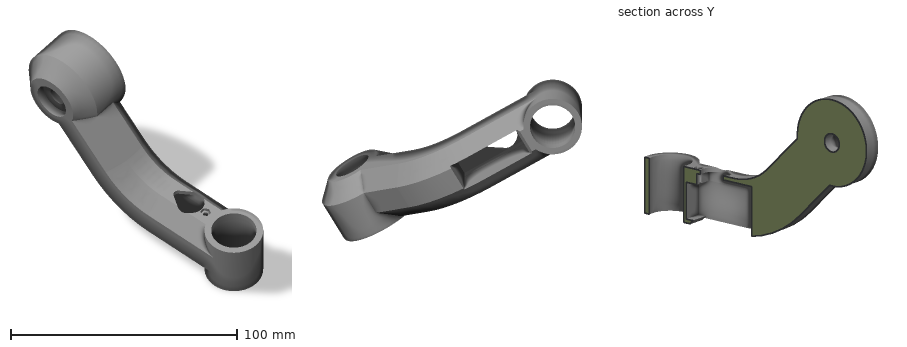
import cadquery as cq
import math

RING_DIAMETER = 26.0
RING_HEIGHT = 26.0
RING_BORE = 20.0

ARM_WIDTH = RING_DIAMETER
ARM_HALF = ARM_WIDTH / 2
OCTAGON_HALF_SIDE = ARM_HALF * math.tan(math.pi / 8)
BEND_ANGLE = math.radians(45.4)
BEND_RADIUS = 40.0

HEAD_X = -95.0
HEAD_Z = 40.0
HEAD_DIAMETER = 40.0
HEAD_FRONT_Y = -ARM_HALF
HEAD_CONE_END_Y = -OCTAGON_HALF_SIDE
HEAD_BACK_Y = 14.0
HEAD_FACE_DIAMETER = 25.0
BACK_STEP_DIAMETER = 39.6
BACK_STEP_HEIGHT = 0.7
HEAD_HOLE = 8.2
HEAD_COUNTERBORE = 16.5
COUNTERBORE_DEPTH = 4.0

KEYHOLE_LARGE_X = -25.2
KEYHOLE_LARGE_RADIUS = 6.2
KEYHOLE_SMALL_X = -32.4
KEYHOLE_SMALL_RADIUS = 2.2

POCKET_START_X = -48.8
MOUTH_END_SLOPE = math.radians(52.0)
MOUTH_END_X = -13.7
MOUTH_DEPTH = 2.0
MOUTH_TOP_Z = MOUTH_DEPTH - ARM_HALF
LOWER_POCKET_END_X = -11.4
LOWER_POCKET_WIDTH = 12.7
LOWER_POCKET_TOP_Z = 5.8
UPPER_POCKET_END_X = -17.4
UPPER_POCKET_WIDTH = 2 * KEYHOLE_LARGE_RADIUS
POCKET_ROOF_THICKNESS = 2.1
UPPER_POCKET_TOP_Z = ARM_HALF - POCKET_ROOF_THICKNESS

NUT_X = -16.5
NUT_ACROSS_FLATS = 4.1
NUT_POCKET_DEPTH = 1.5
SCREW_HOLE = 2.3


def across_corners(across_flats, sides):
    return across_flats / math.cos(math.pi / sides)


def z_cylinder(x, diameter, bottom_z, top_z):
    return cq.Workplane("XY", origin=(x, 0, bottom_z)).circle(diameter / 2).extrude(top_z - bottom_z)


def head_cylinder(diameter, front_y, back_y):
    """Cylinder on the head axis between two Y positions."""
    return (
        cq.Workplane("XZ", origin=(HEAD_X, front_y, HEAD_Z))
        .circle(diameter / 2)
        .extrude(front_y - back_y)
    )


def arm():
    """Regular octagon swept along the bent centre line, from ring centre to head centre."""
    corner_x = HEAD_X + HEAD_Z / math.tan(BEND_ANGLE)
    bend_end_x = corner_x + BEND_RADIUS * math.tan(BEND_ANGLE / 2)

    def bend_point(angle):
        return (
            bend_end_x - BEND_RADIUS * math.sin(angle),
            BEND_RADIUS * (1 - math.cos(angle)),
        )

    centre_line = (
        cq.Workplane("XZ")
        .lineTo(bend_end_x, 0)
        .threePointArc(bend_point(BEND_ANGLE / 2), bend_point(BEND_ANGLE))
        .lineTo(HEAD_X, HEAD_Z)
    )
    return (
        cq.Workplane("YZ")
        .transformed(rotate=(0, 0, 180 / 8))
        .polygon(8, across_corners(ARM_WIDTH, 8))
        .sweep(centre_line)
    )


def ring():
    return z_cylinder(0, RING_DIAMETER, -RING_HEIGHT / 2, RING_HEIGHT / 2)


def ring_bore():
    return z_cylinder(0, RING_BORE, -RING_HEIGHT / 2, RING_HEIGHT / 2)


def head():
    """Turned body: front cone, main cylinder and a slightly smaller step at the back."""
    step_y = HEAD_BACK_Y - BACK_STEP_HEIGHT
    profile = [
        (0, HEAD_FRONT_Y),
        (HEAD_FACE_DIAMETER / 2, HEAD_FRONT_Y),
        (HEAD_DIAMETER / 2, HEAD_CONE_END_Y),
        (HEAD_DIAMETER / 2, step_y),
        (BACK_STEP_DIAMETER / 2, step_y),
        (BACK_STEP_DIAMETER / 2, HEAD_BACK_Y),
        (0, HEAD_BACK_Y),
    ]
    return (
        cq.Workplane("XY", origin=(HEAD_X, 0, HEAD_Z))
        .polyline(profile)
        .close()
        .revolve(360, (0, 0, 0), (0, 1, 0))
    )


def head_holes():
    through_hole = head_cylinder(HEAD_HOLE, HEAD_FRONT_Y, HEAD_BACK_Y)
    counterbore = head_cylinder(HEAD_COUNTERBORE, HEAD_FRONT_Y, HEAD_FRONT_Y + COUNTERBORE_DEPTH)
    return through_hole.union(counterbore)


def keyhole():
    """Cutter from the middle of the arm up through its top."""
    centre_distance = KEYHOLE_LARGE_X - KEYHOLE_SMALL_X
    flank_sine = (KEYHOLE_LARGE_RADIUS - KEYHOLE_SMALL_RADIUS) / centre_distance
    flank_cosine = math.sqrt(1 - flank_sine ** 2)

    def tangent_point(centre_x, radius, side):
        return (centre_x - radius * flank_sine, side * radius * flank_cosine)

    small_front = tangent_point(KEYHOLE_SMALL_X, KEYHOLE_SMALL_RADIUS, -1)
    small_back = tangent_point(KEYHOLE_SMALL_X, KEYHOLE_SMALL_RADIUS, 1)
    large_front = tangent_point(KEYHOLE_LARGE_X, KEYHOLE_LARGE_RADIUS, -1)
    large_back = tangent_point(KEYHOLE_LARGE_X, KEYHOLE_LARGE_RADIUS, 1)
    return (
        cq.Workplane("XY")
        .moveTo(*small_front)
        .lineTo(*large_front)
        .threePointArc((KEYHOLE_LARGE_X + KEYHOLE_LARGE_RADIUS, 0), large_back)
        .lineTo(*small_back)
        .threePointArc((KEYHOLE_SMALL_X - KEYHOLE_SMALL_RADIUS, 0), small_front)
        .close()
        .extrude(ARM_HALF)
    )


def pocket_level(bottom_z, top_z, bottom_end_x, top_end_x, width):
    """Block from the common pocket start to an end wall that may slope between two X positions."""
    profile = [
        (POCKET_START_X, bottom_z),
        (bottom_end_x, bottom_z),
        (top_end_x, top_z),
        (POCKET_START_X, top_z),
    ]
    return cq.Workplane("XZ").polyline(profile).close().extrude(width / 2, both=True)


def pocket():
    """Mouth with a sloped end, long lower chamber and shorter upper chamber."""
    mouth_top_end_x = MOUTH_END_X - MOUTH_DEPTH / math.tan(MOUTH_END_SLOPE)
    mouth = pocket_level(-ARM_HALF, MOUTH_TOP_Z, MOUTH_END_X, mouth_top_end_x, LOWER_POCKET_WIDTH)
    lower = pocket_level(
        MOUTH_TOP_Z, LOWER_POCKET_TOP_Z, LOWER_POCKET_END_X, LOWER_POCKET_END_X, LOWER_POCKET_WIDTH
    )
    upper = pocket_level(
        LOWER_POCKET_TOP_Z, UPPER_POCKET_TOP_Z, UPPER_POCKET_END_X, UPPER_POCKET_END_X, UPPER_POCKET_WIDTH
    )
    return mouth.union(lower).union(upper)


def nut_and_screw():
    screw = z_cylinder(NUT_X, SCREW_HOLE, -ARM_HALF, ARM_HALF)
    nut = (
        cq.Workplane("XY", origin=(NUT_X, 0, ARM_HALF))
        .transformed(rotate=(0, 0, 180 / 6))
        .polygon(6, across_corners(NUT_ACROSS_FLATS, 6))
        .extrude(-NUT_POCKET_DEPTH)
    )
    return screw.union(nut)


result = arm().union(ring()).union(head())
for cutter in (ring_bore(), head_holes(), keyhole(), pocket(), nut_and_screw()):
    result = result.cut(cutter)